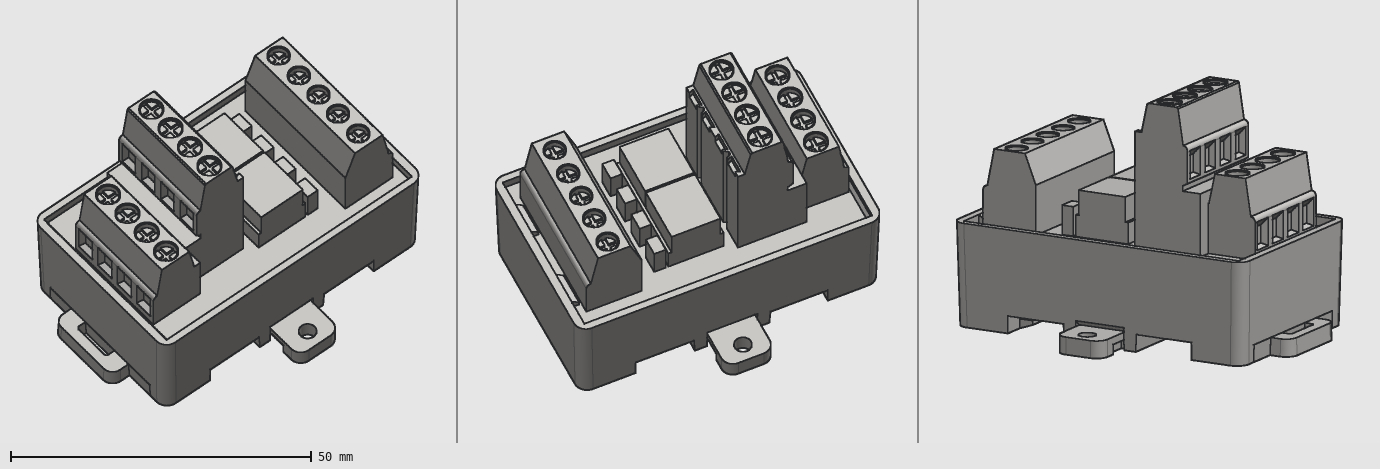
import cadquery as cq
import math

HOUSING_TOP = 18.0
TOP_WIDTH, TOP_LENGTH = 34.75, 55.95
DRAFT = 0.4
CORNER_RADIUS = 2.25
RECESS_WIDTH, RECESS_LENGTH = 32.15, 52.85
RECESS_DEPTH = 1.6
BOARD_THICKNESS = 1.6
FRONT_RAMP = 0.65
TAB_REACH, TAB_WIDTH, TAB_OFFSET = 1.35, 6.1, 8.0
TAB_SLOPE = 0.95

CHANNEL_HEIGHT = 3.05
CHANNEL_FRONT, CHANNEL_BACK = -17.85, 17.45
FOOT_Y = -0.3
FOOT_HALF_LENGTH = 6.85
FOOT_DRAFT = 0.2
HOOK_TOP, HOOK_NOSE = 1.65, 0.9
FIXED_HOOK_REACH = 2.5

EAR_SPAN = 48.6
EAR_LENGTH = 8.85
EAR_RADIUS = 2.1
EAR_HOLE_DIAMETER, EAR_HOLE_X = 3.0, 21.2
EAR_NOTCH_X, EAR_NOTCH_HEIGHT, EAR_NOTCH_DEPTH = 20.2, 1.7, 0.9
EAR_POCKET_LENGTH, EAR_POCKET_TOP, EAR_POCKET_DEPTH = 9.2, 4.2, 0.9

CLIP_WIDTH = 26.05
CLIP_HOOK_REACH, CLIP_HOOK_TOE = 1.8, 0.85
HANDLE_WIDTH, HANDLE_TIP_Y, HANDLE_RADIUS = 15.25, -31.55, 2.1
HANDLE_TAPER = 3.0
HANDLE_SLOT_WIDTH, HANDLE_SLOT_END = 7.3, -29.3
HANDLE_SLOT_RADIUS = 0.35

LOW_TOP, HIGH_TOP = 30.2, 41.5
LIP_DEPTH, LIP_DROP, LIP_ROUND = 0.85, 6.4, 0.95
SLOPE_DROP = 5.2
POLE_PITCH = 5.05
QUAD_WIDTH = 20.3
QUAD_CROWN_FRONT, QUAD_CROWN_BACK = 1.85, 7.75
QUAD_SHELF, QUAD_DEPTH = 8.85, 10.1
QUAD_POLES = [POLE_PITCH * step for step in (-1.5, -0.5, 0.5, 1.5)]
FRONT_BLOCK_X, FRONT_BLOCK_FACE = 1.2, -25.5
STACK_X, STACK_FACE = -1.4, -14.0
STACK_CHAMFER = 0.25
STACK_LIP_BOTTOM, STACK_GROOVE_TOP = 28.6, 28.1
STACK_STEP_TOP, STACK_STEP_Y, STACK_GROOVE_DEPTH = 27.2, -16.5, 0.95
FIVE_WIDTH, FIVE_X, FIVE_FACE = 26.1, 0.2, 24.6
FIVE_CROWN_FRONT, FIVE_CROWN_BACK, FIVE_DEPTH = 2.15, 8.1, 10.2
FIVE_POLES = [-10.4, -5.1, 0, 5.1, 10.4]

QUAD_SCREW_DIAMETER, FIVE_SCREW_DIAMETER = 4.1, 3.8
QUAD_SCREW_Y, FIVE_SCREW_Y = 4.9, 5.05
SCREW_DEPTH, STACK_SCREW_DEPTH = 1.35, 0.6
BORE_STEP, BORE_STEP_DEPTH = 0.2, 0.25
CROSS_WIDTH, CROSS_DEPTH = 0.7, 0.5
WINDOW_DEPTH = 1.15
WINDOW_TOP_DROP, WINDOW_HEIGHT = 7.4, 4.9
WINDOW_FLOOR_WIDTH, WINDOW_FLOOR_TOP_DROP, WINDOW_FLOOR_HEIGHT = 2.7, 8.7, 3.15
FRONT_WINDOW_WIDTH, STACK_WINDOW_WIDTH = 3.65, 3.4

DOVETAIL_WIDTH, DOVETAIL_MOUTH, DOVETAIL_DROP = 3.45, 2.8, 1.2
VEE_MOUTH, VEE_WIDTH = 1.5, 0.5
JOINT_DEPTH = 0.85

RELAY_WIDTH = 20.5
RELAY_Y = 3.2
RELAY_BASE_LENGTH, RELAY_LENGTH = 10.1, 9.0
RELAY_BASE_TOP, RELAY_TOP = 20.05, 24.4
RELAY_GAP = 0.35
LAMP_WIDTH, LAMP_LENGTH, LAMP_Y, LAMP_TOP = 3.3, 2.15, 9.8, 21.4
LAMP_COUNT = 4

BOARD_TOP = HOUSING_TOP - RECESS_DEPTH
BOARD_BOTTOM = BOARD_TOP - BOARD_THICKNESS


def box(x_min, x_max, y_min, y_max, z_min, z_max):
    """Upright box between the given limits."""
    size = (x_max - x_min, y_max - y_min, z_max - z_min)
    return cq.Workplane("XY").box(*size, centered=False).translate((x_min, y_min, z_min))


def bar(points, width, x_centre=0):
    """Prism along X with the given (y, z) outline."""
    solid = cq.Workplane("YZ").polyline(points).close().extrude(width / 2, both=True)
    return solid.translate((x_centre, 0, 0))


def make_envelope():
    """Outer shape of the housing: rounded rectangles joined by drafted walls."""
    foot_width, foot_length = TOP_WIDTH - 2 * DRAFT, TOP_LENGTH - 2 * DRAFT
    foot = cq.Sketch().rect(foot_width, foot_length).vertices().fillet(CORNER_RADIUS)
    rim = cq.Sketch().rect(TOP_WIDTH, TOP_LENGTH).vertices().fillet(CORNER_RADIUS)
    raised_rim = rim.moved(cq.Location((0, 0, HOUSING_TOP)))
    return cq.Workplane("XY").placeSketch(foot, raised_rim).loft(ruled=True)


def make_clip_seat():
    """Space in the foot of the housing that the clip fills."""
    half = CLIP_WIDTH / 2
    return box(-half, half, -TOP_LENGTH, CHANNEL_FRONT, 0, CHANNEL_HEIGHT)


def make_channels():
    """Two rail channels with the drafted foot left between them."""
    span = box(-TOP_WIDTH, TOP_WIDTH, CHANNEL_FRONT, CHANNEL_BACK, 0, CHANNEL_HEIGHT)
    foot_top = FOOT_HALF_LENGTH + FOOT_DRAFT
    foot = bar(
        [
            (FOOT_Y - FOOT_HALF_LENGTH, 0),
            (FOOT_Y + FOOT_HALF_LENGTH, 0),
            (FOOT_Y + foot_top, CHANNEL_HEIGHT),
            (FOOT_Y - foot_top, CHANNEL_HEIGHT),
        ],
        2 * TOP_WIDTH,
    )
    return span.cut(foot)


def make_ear():
    """Ear on the +X side, reaching into the foot of the housing."""
    half = EAR_LENGTH / 2
    root = TOP_WIDTH / 2 - DRAFT - EAR_POCKET_DEPTH
    ear = box(root, EAR_SPAN / 2, FOOT_Y - half, FOOT_Y + half, 0, CHANNEL_HEIGHT)
    ear = ear.edges("|Z and >X").fillet(EAR_RADIUS)
    hole = cq.Workplane("XY", origin=(EAR_HOLE_X, FOOT_Y, 0)).circle(EAR_HOLE_DIAMETER / 2)
    hole = hole.extrude(CHANNEL_HEIGHT)
    ear = ear.cut(hole)
    for side in (-1, 1):
        edge = FOOT_Y + side * half
        inner = edge - side * EAR_NOTCH_DEPTH
        ear = ear.cut(
            box(root, EAR_NOTCH_X, min(edge, inner), max(edge, inner), 0, EAR_NOTCH_HEIGHT)
        )
    return ear


def make_ear_pocket():
    """Pocket above the +X ear, its ceiling sloping down into the wall."""
    outer = TOP_WIDTH / 2
    inner = outer - DRAFT - EAR_POCKET_DEPTH
    half = EAR_POCKET_LENGTH / 2
    outline = [(inner, 0), (outer, 0), (outer, EAR_POCKET_TOP), (inner, CHANNEL_HEIGHT)]
    solid = cq.Workplane("XZ").polyline(outline).close().extrude(half, both=True)
    return solid.translate((0, FOOT_Y, 0))


def make_board_ramps():
    """Sloped ledge on the front wall and two snap tabs on the back wall, above the board."""
    wall = RECESS_LENGTH / 2
    ledge_outline = [
        (-wall, BOARD_TOP),
        (FRONT_RAMP - wall, BOARD_TOP),
        (-wall, BOARD_TOP + FRONT_RAMP),
    ]
    ramps = bar(ledge_outline, RECESS_WIDTH)
    tip = wall - TAB_REACH
    tab_outline = [
        (wall, BOARD_TOP),
        (tip, BOARD_TOP),
        (tip, HOUSING_TOP - TAB_SLOPE),
        (wall, HOUSING_TOP),
    ]
    for x in (-TAB_OFFSET, TAB_OFFSET):
        ramps = ramps.union(bar(tab_outline, TAB_WIDTH, x))
    return ramps


def make_housing(envelope):
    """Tray with board recess, rail channels, clip seat, ears and a fixed rail hook."""
    half_width, half_length = RECESS_WIDTH / 2, RECESS_LENGTH / 2
    recess = box(-half_width, half_width, -half_length, half_length, BOARD_BOTTOM, HOUSING_TOP)
    body = envelope.cut(recess).cut(make_channels()).cut(make_clip_seat())
    body = body.union(make_board_ramps())
    pocket, ear = make_ear_pocket(), make_ear()
    body = body.cut(pocket).cut(pocket.mirror("YZ"))
    body = body.union(ear).union(ear.mirror("YZ"))
    hook = [
        (CHANNEL_BACK, 0),
        (CHANNEL_BACK - FIXED_HOOK_REACH, HOOK_NOSE),
        (CHANNEL_BACK - FIXED_HOOK_REACH, HOOK_TOP),
        (CHANNEL_BACK, HOOK_TOP),
    ]
    return body.union(bar(hook, CLIP_WIDTH))


def make_clip(envelope):
    """Clip flush with the front wall, with a rail hook inside and a pull handle outside."""
    base = envelope.intersect(make_clip_seat())
    hook = [
        (CHANNEL_FRONT, 0),
        (CHANNEL_FRONT + CLIP_HOOK_TOE, 0),
        (CHANNEL_FRONT + CLIP_HOOK_REACH, HOOK_NOSE),
        (CHANNEL_FRONT + CLIP_HOOK_REACH, HOOK_TOP),
        (CHANNEL_FRONT, HOOK_TOP),
    ]
    wall = DRAFT - TOP_LENGTH / 2
    handle_root = wall + HANDLE_RADIUS
    handle = (
        cq.Workplane("XY")
        .center(0, (HANDLE_TIP_Y + handle_root) / 2)
        .sketch()
        .rect(HANDLE_WIDTH, handle_root - HANDLE_TIP_Y)
        .vertices("<Y")
        .fillet(HANDLE_RADIUS)
        .finalize()
        .extrude(CHANNEL_HEIGHT, taper=HANDLE_TAPER)
    )
    slot = (
        cq.Workplane("XY")
        .center(0, (HANDLE_SLOT_END + handle_root) / 2)
        .sketch()
        .rect(HANDLE_SLOT_WIDTH, handle_root - HANDLE_SLOT_END)
        .vertices()
        .fillet(HANDLE_SLOT_RADIUS)
        .finalize()
        .extrude(CHANNEL_HEIGHT, taper=-HANDLE_TAPER)
    )
    return handle.cut(slot).union(base).union(bar(hook, CLIP_WIDTH))


def make_block(width, top, crown_front, back_points):
    """Terminal block standing on the board, wire face on y = 0, body toward +Y.

    back_points lists the outline from the rear edge of the crown down to the board.
    """
    lip_top = top - LIP_DROP
    arc_inset = 1 - math.sqrt(0.5)
    outline = (
        cq.Workplane("YZ")
        .moveTo(0, BOARD_TOP)
        .lineTo(0, lip_top - LIP_ROUND)
        .threePointArc(
            (arc_inset * LIP_DEPTH, lip_top - arc_inset * LIP_ROUND), (LIP_DEPTH, lip_top)
        )
        .lineTo(crown_front, top)
    )
    for point in back_points:
        outline = outline.lineTo(*point)
    return outline.close().extrude(width / 2, both=True)


def make_quad_block(top):
    """Four-pole block with a shelf behind its rear slope."""
    shelf = top - SLOPE_DROP
    back = [
        (QUAD_CROWN_BACK, top),
        (QUAD_SHELF, shelf),
        (QUAD_DEPTH, shelf),
        (QUAD_DEPTH, BOARD_TOP),
    ]
    return make_block(QUAD_WIDTH, top, QUAD_CROWN_FRONT, back)


def cut_screws(block, poles, y, top, diameter, depth):
    """Sink a cross-slotted screw head into the crown at every pole."""
    slot_bottom = top - depth - CROSS_DEPTH
    head_diameter = diameter - 2 * BORE_STEP
    arms = cq.Workplane("XY").rect(head_diameter, CROSS_WIDTH).extrude(CROSS_DEPTH)
    arms = arms.union(cq.Workplane("XY").rect(CROSS_WIDTH, head_diameter).extrude(CROSS_DEPTH))
    cross = cq.Workplane("XY").circle(head_diameter / 2).extrude(CROSS_DEPTH).intersect(arms)
    bore = cq.Workplane("XY", origin=(0, 0, CROSS_DEPTH)).circle(head_diameter / 2).extrude(depth)
    mouth_z = CROSS_DEPTH + depth - BORE_STEP_DEPTH
    mouth = cq.Workplane("XY", origin=(0, 0, mouth_z)).circle(diameter / 2).extrude(BORE_STEP_DEPTH)
    cavity = bore.union(mouth).union(cross)
    for x in poles:
        block = block.cut(cavity.translate((x, y, slot_bottom)))
    return block


def cut_windows(block, top, width):
    """Cut a tapered wire window into the wire face at every pole."""
    mouth_z = top - WINDOW_TOP_DROP - WINDOW_HEIGHT / 2
    floor_z = top - WINDOW_FLOOR_TOP_DROP - WINDOW_FLOOR_HEIGHT / 2
    for x in QUAD_POLES:
        window = (
            cq.Workplane("XZ", origin=(x, 0, mouth_z))
            .rect(width, WINDOW_HEIGHT)
            .workplane(offset=-WINDOW_DEPTH)
            .center(0, floor_z - mouth_z)
            .rect(WINDOW_FLOOR_WIDTH, WINDOW_FLOOR_HEIGHT)
            .loft(ruled=True)
        )
        block = block.cut(window)
    return block


def trapezoid_groove(x, inner_width, mouth_width, z_bottom, z_top):
    """Vertical groove in the rear face of a four-pole block."""
    inner_y = QUAD_DEPTH - JOINT_DEPTH
    outline = [
        (x - inner_width / 2, inner_y),
        (x + inner_width / 2, inner_y),
        (x + mouth_width / 2, QUAD_DEPTH),
        (x - mouth_width / 2, QUAD_DEPTH),
    ]
    groove = cq.Workplane("XY", origin=(0, 0, z_bottom)).polyline(outline).close()
    return groove.extrude(z_top - z_bottom)


def make_front_block():
    """Four-pole block along the front edge."""
    block = make_quad_block(LOW_TOP)
    block = cut_screws(block, QUAD_POLES, QUAD_SCREW_Y, LOW_TOP, QUAD_SCREW_DIAMETER, SCREW_DEPTH)
    block = cut_windows(block, LOW_TOP, FRONT_WINDOW_WIDTH)
    return block.translate((FRONT_BLOCK_X, FRONT_BLOCK_FACE, 0))


def make_stacked_block():
    """Raised four-pole block with a stepped pedestal and joint grooves behind its shelf."""
    shelf = HIGH_TOP - SLOPE_DROP
    block = make_quad_block(HIGH_TOP).faces(">Z").edges("|X").chamfer(STACK_CHAMFER)
    undercut = bar(
        [
            (0, STACK_LIP_BOTTOM),
            (STACK_GROOVE_DEPTH, STACK_GROOVE_TOP),
            (STACK_GROOVE_DEPTH, STACK_STEP_TOP),
            (0, STACK_STEP_TOP),
        ],
        QUAD_WIDTH,
    )
    block = block.cut(undercut)
    half = QUAD_WIDTH / 2
    step = box(-half, half, STACK_STEP_Y - STACK_FACE, QUAD_DEPTH / 2, BOARD_TOP, STACK_STEP_TOP)
    block = block.union(step)
    block = cut_screws(
        block, QUAD_POLES, QUAD_SCREW_Y, HIGH_TOP, QUAD_SCREW_DIAMETER, STACK_SCREW_DEPTH
    )
    block = cut_windows(block, HIGH_TOP, STACK_WINDOW_WIDTH)
    for x in QUAD_POLES:
        block = block.cut(
            trapezoid_groove(x, DOVETAIL_WIDTH, DOVETAIL_MOUTH, shelf - DOVETAIL_DROP, shelf)
        )
    for x in (-POLE_PITCH, POLE_PITCH):
        block = block.cut(trapezoid_groove(x, VEE_WIDTH, VEE_MOUTH, BOARD_TOP, shelf))
    return block.translate((STACK_X, STACK_FACE, 0))


def make_five_block():
    """Five-pole block at the back, its wire face turned toward +Y."""
    block = make_block(
        FIVE_WIDTH,
        LOW_TOP,
        FIVE_CROWN_FRONT,
        [
            (FIVE_CROWN_BACK, LOW_TOP),
            (FIVE_DEPTH, LOW_TOP - SLOPE_DROP),
            (FIVE_DEPTH, BOARD_TOP),
        ],
    )
    poles = [x - FIVE_X for x in FIVE_POLES]
    block = cut_screws(block, poles, FIVE_SCREW_Y, LOW_TOP, FIVE_SCREW_DIAMETER, SCREW_DEPTH)
    return block.mirror("XZ").translate((FIVE_X, FIVE_FACE, 0))


def make_relays():
    """Two relays side by side on a common base."""
    half_width = RELAY_WIDTH / 2
    half_base, half_relay = RELAY_BASE_LENGTH / 2, RELAY_LENGTH / 2
    base = box(
        -half_width, half_width, RELAY_Y - half_base, RELAY_Y + half_base, BOARD_TOP, RELAY_BASE_TOP
    )
    relays = box(
        -half_width, half_width, RELAY_Y - half_relay, RELAY_Y + half_relay, RELAY_BASE_TOP, RELAY_TOP
    )
    gap = box(
        -RELAY_GAP / 2,
        RELAY_GAP / 2,
        RELAY_Y - half_relay,
        RELAY_Y + half_relay,
        RELAY_BASE_TOP,
        RELAY_TOP,
    )
    return base.union(relays.cut(gap))


def make_lamps():
    """Row of lamps behind the relays, its ends level with theirs."""
    pitch = (RELAY_WIDTH - LAMP_WIDTH) / (LAMP_COUNT - 1)
    height = LAMP_TOP - BOARD_TOP
    row = cq.Workplane("XY", origin=(0, LAMP_Y, BOARD_TOP + height / 2))
    return row.rarray(pitch, 0.6, LAMP_COUNT, 1).box(LAMP_WIDTH, LAMP_LENGTH, height)


def make_board():
    """Circuit board filling the recess, carrying the terminal blocks, relays and lamps."""
    half_width, half_length = RECESS_WIDTH / 2, RECESS_LENGTH / 2
    board = box(-half_width, half_width, -half_length, half_length, BOARD_BOTTOM, BOARD_TOP)
    for part in (
        make_front_block(),
        make_stacked_block(),
        make_five_block(),
        make_relays(),
        make_lamps(),
    ):
        board = board.union(part)
    return board


envelope = make_envelope()
housing = make_housing(envelope)
clip = make_clip(envelope)
board = make_board()
result = cq.Compound.makeCompound([housing.solids().val(), clip.solids().val(), board.solids().val()])